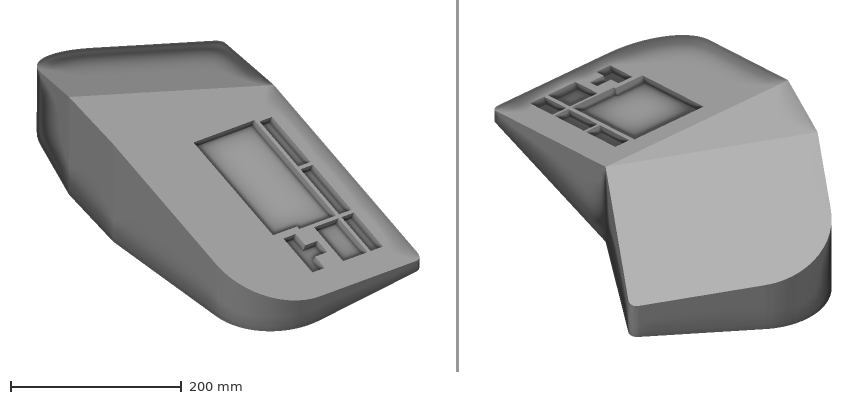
import cadquery as cq
import math

APEX_HEIGHT = 108.5
WING_DEPTH = 251.5
RIGHT_WING_WIDTH = 294.5
LEFT_WING_WIDTH = 202.5
FRONT_RADIUS = 90.0
BACK_RADIUS = 10.0

SWEEP = 10.1
SIDE_TILT = 18.7
FRONT_TILT = 7.2
TWIST = -0.6

POCKET_DEPTH = 10.0
KEY_GAP = 5.0
PANEL_LEFT = 40.5
TOP_ROW_V = 35.0
TOP_ROW_DEPTH = 19.5
TOP_KEY_WIDTH = 76.0
SIDE_BLOCK_WIDTH = 57.5
SIDE_BLOCK_DEPTH = 38.0
MAIN_LEFT = 36.0
MAIN_DEPTH = 95.0
MAIN_STEP = 4.5
MAIN_STEP_V = 57.5
ARROW_KEY = SIDE_BLOCK_WIDTH / 3


def wing_plane(side):
    """Plane of a wing top; its x axis runs outward along the back edge.

    side is 1 for the right wing and -1 for the left wing.
    """
    side_tilt = math.radians(SIDE_TILT)
    front_tilt = math.radians(FRONT_TILT)
    sweep = math.radians(SWEEP)
    fold = sweep + math.asin(math.tan(side_tilt) * math.tan(front_tilt))
    outward = cq.Vector(
        side * math.cos(side_tilt) * math.cos(sweep),
        math.cos(side_tilt) * math.sin(sweep),
        -math.sin(side_tilt),
    )
    forward = cq.Vector(
        side * math.cos(front_tilt) * math.sin(fold),
        -math.cos(front_tilt) * math.cos(fold),
        math.sin(front_tilt),
    )
    normal = forward.cross(outward) * side
    return cq.Plane(origin=(0, 0, APEX_HEIGHT), xDir=outward, normal=normal)


def extrude_down(wire):
    """Solid from a tilted top outline straight down to the base."""
    drop = 3 * APEX_HEIGHT
    return cq.Workplane(obj=cq.Solid.extrudeLinear(wire, [], cq.Vector(0, 0, -drop)))


def wing(side, width):
    """Wing block with rounded outer corners."""
    front = -side * WING_DEPTH
    back_tangent = -side * BACK_RADIUS
    front_tangent = front + side * FRONT_RADIUS
    outline = (
        cq.Workplane(wing_plane(side))
        .lineTo(width - BACK_RADIUS, 0)
        .tangentArcPoint((width, back_tangent), relative=False)
        .lineTo(width, front_tangent)
        .tangentArcPoint((width - FRONT_RADIUS, front), relative=False)
        .lineTo(0, front)
        .close()
    )
    return extrude_down(outline.val())


def wedge():
    """Triangular block between the two folds."""
    apex = cq.Vector(0, 0, APEX_HEIGHT)
    left_front = wing_plane(-1).toWorldCoords((0, WING_DEPTH, 0))
    right_front = wing_plane(1).toWorldCoords((0, -WING_DEPTH, 0))
    return extrude_down(cq.Wire.makePolygon([apex, left_front, right_front], close=True))


def pocket(points):
    """Cutter for a pocket with the given (u, v) corners on the right wing."""
    corners = [(u, -v) for u, v in points]
    return cq.Workplane(wing_plane(1)).polyline(corners).close().extrude(-POCKET_DEPTH)


def rectangle(u, v, width, depth):
    return [(u, v), (u + width, v), (u + width, v + depth), (u, v + depth)]


def main_outline(v):
    """Main key field, slightly narrower toward the front."""
    right = PANEL_LEFT + 2 * TOP_KEY_WIDTH + KEY_GAP
    return [
        (MAIN_LEFT, v),
        (right, v),
        (right, v + MAIN_STEP_V),
        (right - MAIN_STEP, v + MAIN_STEP_V),
        (right - MAIN_STEP, v + MAIN_DEPTH),
        (MAIN_LEFT, v + MAIN_DEPTH),
    ]


def arrow_outline(u, v):
    """Inverted T of four arrow keys, within the width of the side block."""
    stem_left = u + ARROW_KEY
    stem_right = stem_left + ARROW_KEY
    right = u + SIDE_BLOCK_WIDTH
    shoulder = v + ARROW_KEY
    front = shoulder + ARROW_KEY
    return [
        (stem_left, v), (stem_right, v), (stem_right, shoulder), (right, shoulder),
        (right, front), (u, front), (u, shoulder), (stem_left, shoulder),
    ]


body = wing(1, RIGHT_WING_WIDTH).union(wing(-1, LEFT_WING_WIDTH)).union(wedge())
trim_size = 4 * RIGHT_WING_WIDTH
below_base = cq.Workplane().box(trim_size, trim_size, trim_size).translate((0, 0, -trim_size / 2))
body = body.cut(below_base)

key_pitch = TOP_KEY_WIDTH + KEY_GAP
side_u = PANEL_LEFT + 2 * key_pitch
second_row_v = TOP_ROW_V + TOP_ROW_DEPTH + KEY_GAP
arrow_v = second_row_v + SIDE_BLOCK_DEPTH + 2 * KEY_GAP
pocket_outlines = [
    rectangle(PANEL_LEFT, TOP_ROW_V, TOP_KEY_WIDTH, TOP_ROW_DEPTH),
    rectangle(PANEL_LEFT + key_pitch, TOP_ROW_V, TOP_KEY_WIDTH, TOP_ROW_DEPTH),
    rectangle(side_u, TOP_ROW_V, SIDE_BLOCK_WIDTH, TOP_ROW_DEPTH),
    rectangle(side_u, second_row_v, SIDE_BLOCK_WIDTH, SIDE_BLOCK_DEPTH),
    main_outline(second_row_v),
    arrow_outline(side_u, arrow_v),
]
for outline in pocket_outlines:
    body = body.cut(pocket(outline))

result = body.rotate((0, 0, 0), (0, 0, 1), TWIST)